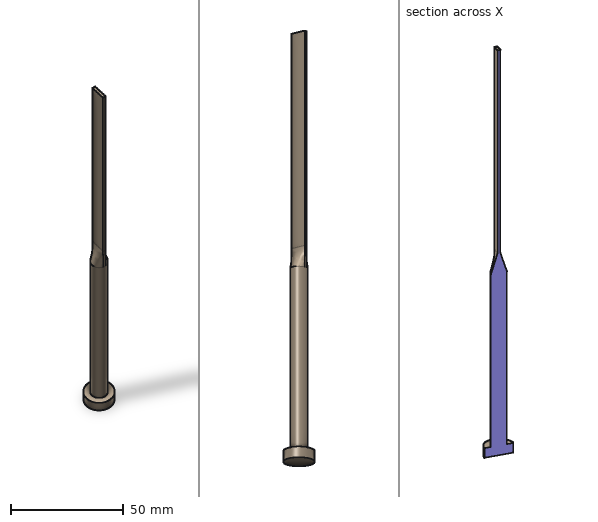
import cadquery as cq
import math

total_length = 200.0
head_diameter = 14.0
head_height = 5.0
shaft_diameter = 8.0
blade_length = 100.0
blade_width = 7.5
blade_thickness = 1.5
transition_height = 10.0

shaft_radius = shaft_diameter / 2
half_width = blade_width / 2
half_thickness = blade_thickness / 2
blade_base = total_length - blade_length
shaft_top = blade_base - transition_height


def make_head():
    return cq.Workplane("XY").circle(head_diameter / 2).extrude(head_height)


def make_shaft():
    return cq.Workplane("XY").circle(shaft_radius).extrude(shaft_top)


def make_transition():
    """Loft from the round shaft to the flat blade.

    The circle is split into four arcs so that each one meets a side of the blade.
    """
    corner_x = math.sqrt(shaft_radius**2 - half_thickness**2)
    return (
        cq.Workplane("XY", origin=(0, 0, shaft_top))
        .moveTo(-corner_x, -half_thickness)
        .threePointArc((0, -shaft_radius), (corner_x, -half_thickness))
        .threePointArc((shaft_radius, 0), (corner_x, half_thickness))
        .threePointArc((0, shaft_radius), (-corner_x, half_thickness))
        .threePointArc((-shaft_radius, 0), (-corner_x, -half_thickness))
        .close()
        .workplane(offset=transition_height)
        .moveTo(-half_width, -half_thickness)
        .lineTo(half_width, -half_thickness)
        .lineTo(half_width, half_thickness)
        .lineTo(-half_width, half_thickness)
        .close()
        .loft(ruled=True, combine=True)
    )


def make_blade():
    return (
        cq.Workplane("XY", origin=(0, 0, blade_base))
        .rect(blade_width, blade_thickness)
        .extrude(blade_length)
    )


result = make_head().union(make_shaft()).union(make_transition()).union(make_blade())